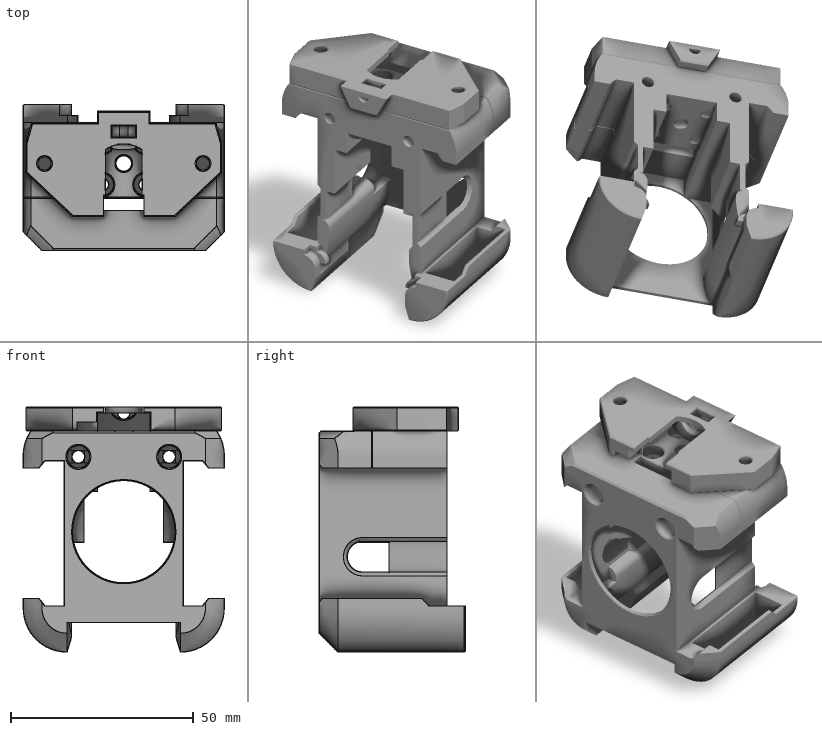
import cadquery as cq
import math

HALF_WIDTH = 27.5
TOTAL_HEIGHT = 67.1
PLATE_THICKNESS = 6.65
DECK_Z = TOTAL_HEIGHT - PLATE_THICKNESS
REAR_Y = 35.0
SEAM_Y = 14.3
SEAT_Z = 50.3
CORE_HALF = 16.3
CORNER_RADIUS = 12.0
FRONT_BEVEL = 5.2
ARM_STEP_X = (21.55, 23.2)
ARM_STEP = 2.0
SCREW_X = 12.4
SCREW_Z = 53.4
SCREW_HOLE = 3.4
CENTRE_HOLE_Y = 23.8
EDGE_CHAMFER = 0.35
RIM = 0.35
OVER = 0.7

FOOT_DEPTH = 40.0
FOOT_STEP_Y = 36.9
FOOT_INNER_X = HALF_WIDTH - CORNER_RADIUS
FOOT_SHELF_Z = 12.7
FOOT_RIDGE_X = 14.2
FOOT_RIDGE_Z = 4.3
FOOT_RIDGE_TOP_X = 15.0
FOOT_RIDGE_Y = 20.1
LOBE_RADIUS = 2.9
TIP_RADIUS = 3.35
ROUND_DROP = 1.7
RAIL_END_Y = 28.05
POCKET_Y = (5.8, 34.2)
POCKET_INNER_X = 17.2
POCKET_WALL = 1.15
FLOOR_Z = 8.05
FRONT_WALL = 1.0
BORE_DIAMETER = 28.0
BORE_Z = 32.95
BORE_RIM = 0.3
CAVITY_HALF = 15.25
CAVITY_TOP = 43.95
DUCT_HALF = 12.55
DUCT_TOP = 20.8
DUCT_CURVE_Z = 16.8
LEDGE_Y = 10.35
LEDGE_Z = 16.8
REAR_WALL_Y = 19.05
REAR_CAVITY_HALF = 13.75
SLOT_Z = 26.1
SLOT_END_Y = 11.9
SLOT_RADIUS = 4.15
TAB_INNER_X = 10.9
TAB_Z = 30.0
TAB_Y = 10.95
CHANNEL_HALF = 7.1
CHANNEL_Y = 11.0
COUNTERBORE = 6.2
COUNTERBORE_DEPTH = 6.05
BRIDGE_STEP = 0.3
WING_TOP_X = 25.45
TOP_BEVEL_DROP = 2.0
TOP_BEVEL_RUN = 3.7
FRONT_EDGE_CHAMFER = 0.55

CENTRE_HOLE = 4.2
BOLT_HOLE = 3.2
BOLT_OFFSET = 5.8
BOLT_COUNTERBORE = 6.0
BOLT_COUNTERBORE_DEPTH = 3.35

PLATE_HALF = 26.8
PLATE_FRONT_Y = 9.25
PLATE_SIDE_Y = (21.3, 29.4)
PLATE_REAR_Y = 34.9
PLATE_FRONT_X = 14.0
PLATE_REAR_X = 25.2
TONGUE_HALF = 7.25
TONGUE_Y = 38.1
TONGUE_LEAN = 3.35
PLATE_HOLE = 3.6
PLATE_HOLE_X = 21.7
RECESS_TOP = 65.35
RECESS_END_Y = 27.6
RECESS_HALF = 9.4
RECESS_BULGE_RADIUS = 15.65
MOUTH_HALF = 5.0
MOUTH_SHOULDER_Y = 27.5
MOUTH_END_Y = 29.2
MOUTH_FRONT_HALF = 5.5
MOUTH_FRONT_Y = 15.25
WINDOW_HALF = 3.5
WINDOW_Y = (30.75, 34.35)
WINDOW_FLOOR = 64.3
TROUGH_RADIUS = 1.6
FLARE_RISE = 2.3
FLARE_RADIUS = 4.5
FLARE_START_Y = 26.5
SIDE_POCKET_RADIUS = 5.65
SIDE_POCKET_TOP = 63.0


def box(x_span, y_span, z_span):
    """Axis-aligned box between pairs of coordinates."""
    size = [span[1] - span[0] for span in (x_span, y_span, z_span)]
    corner = (x_span[0], y_span[0], z_span[0])
    return cq.Workplane("XY", origin=corner).box(*size, centered=False)


def along_y(y_start):
    """Sketch plane holding X and Z; extrude by a negative length to go rearward."""
    return cq.Workplane("XZ", origin=(0, y_start, 0))


def both_sides(right):
    """A right-hand shape together with its mirror image across X = 0."""
    return right.union(right.mirror("YZ"))


def round_hole(direction, start, depth, diameter, rim=0.0):
    """Cutter for a hole starting at a point, with an optional 45 degree rim chamfer."""
    axis = cq.Vector(*direction)
    origin = cq.Vector(*start)
    cutter = cq.Workplane(cq.Solid.makeCylinder(diameter / 2, depth, origin, axis))
    if rim:
        cone = cq.Solid.makeCone(diameter / 2 + rim, diameter / 2, rim, origin, axis)
        cutter = cutter.union(cq.Workplane(cone))
    return cutter


def wing_section(y_start, y_end):
    """Upper cross-section with both wings, above the seat."""
    rise = DECK_Z - SEAT_Z
    lean = HALF_WIDTH - WING_TOP_X
    straight = rise - math.sqrt(CORNER_RADIUS**2 - (CORNER_RADIUS - lean) ** 2)
    arc_z = SEAT_Z + straight
    half_angle = math.acos(1 - lean / CORNER_RADIUS) / 2
    arc_mid = (
        HALF_WIDTH - CORNER_RADIUS * (1 - math.cos(half_angle)),
        arc_z + CORNER_RADIUS * math.sin(half_angle),
    )
    right = (
        along_y(y_start)
        .moveTo(0, SEAT_Z)
        .lineTo(CORE_HALF, SEAT_Z)
        .lineTo(CORE_HALF, SEAT_Z + ARM_STEP)
        .lineTo(ARM_STEP_X[0], SEAT_Z + ARM_STEP)
        .lineTo(ARM_STEP_X[1], SEAT_Z)
        .lineTo(HALF_WIDTH, SEAT_Z)
        .lineTo(HALF_WIDTH, arc_z)
        .threePointArc(arc_mid, (WING_TOP_X, DECK_Z))
        .lineTo(0, DECK_Z)
        .close()
        .extrude(y_start - y_end)
    )
    return both_sides(right)


def front_corner_bevels():
    """Cutters for the slanted front corners of the wings and the slope above them."""
    front_x = HALF_WIDTH - FRONT_BEVEL
    reach = FRONT_BEVEL + OVER
    slant = (
        cq.Workplane("XY", origin=(0, 0, SEAT_Z - OVER))
        .polyline([(front_x - OVER, -OVER), (front_x + reach, reach), (front_x + reach, -OVER)])
        .close()
        .extrude(DECK_Z - SEAT_Z + 2 * OVER)
    )
    run = TOP_BEVEL_RUN / math.sqrt(2)
    half_length = 2 * HALF_WIDTH
    slope_plane = cq.Plane(origin=(front_x, 0, DECK_Z), xDir=(-1, 1, 0), normal=(1, 1, 0))
    slope = (
        cq.Workplane(slope_plane)
        .polyline([(0, -TOP_BEVEL_DROP), (run, 0), (run, OVER), (-run, OVER), (-run, -TOP_BEVEL_DROP)])
        .close()
        .extrude(half_length, both=True)
    )
    return both_sides(slant.union(slope))


def foot_section(inner_path, y_start, y_end):
    """Slice of the right foot; inner_path draws its inner side from the bottom to the top."""
    diagonal = CORNER_RADIUS * math.sqrt(0.5)
    arc_mid = (FOOT_INNER_X + diagonal, CORNER_RADIUS - diagonal)
    sketch = inner_path(along_y(y_start).moveTo(FOOT_INNER_X, 0))
    return (
        sketch.lineTo(ARM_STEP_X[0], FOOT_SHELF_Z)
        .lineTo(ARM_STEP_X[1], FOOT_SHELF_Z + ARM_STEP)
        .lineTo(HALF_WIDTH, FOOT_SHELF_Z + ARM_STEP)
        .lineTo(HALF_WIDTH, CORNER_RADIUS)
        .threePointArc(arc_mid, (FOOT_INNER_X, 0))
        .close()
        .extrude(y_start - y_end)
    )


def front_inner(sketch):
    """Plain upright inner side, merging into the core."""
    return sketch.lineTo(FOOT_INNER_X, FOOT_SHELF_Z)


def lobe_inner(sketch):
    """Inner side of the lobe just behind the core, reaching in to the duct wall."""
    sketch = sketch.lineTo(FOOT_RIDGE_X, FOOT_RIDGE_Z).lineTo(FOOT_RIDGE_TOP_X, FLOOR_Z)
    return rounded_inner(sketch.lineTo(DUCT_HALF, FLOOR_Z), DUCT_HALF, LOBE_RADIUS)


def tip_inner(sketch):
    """Inner side of the rear tip of the foot."""
    return rounded_inner(sketch.lineTo(FOOT_RIDGE_X, FOOT_RIDGE_Z), FOOT_RIDGE_X, TIP_RADIUS)


def rounded_inner(sketch, inner_x, radius):
    """Inner side with a quarter round, then a short upright step to the shelf."""
    drop = radius * (1 - math.sqrt(0.5))
    round_top = FOOT_SHELF_Z - ROUND_DROP
    return (
        sketch.lineTo(inner_x, round_top - radius)
        .threePointArc((inner_x + drop, round_top - drop), (inner_x + radius, round_top))
        .lineTo(inner_x + radius, FOOT_SHELF_Z)
    )


def foot_ridge():
    """Ridge along the inner side of the foot, with a slanted front end."""
    height = FOOT_INNER_X - FOOT_RIDGE_X
    prism = (
        along_y(FOOT_RIDGE_Y)
        .polyline(
            [
                (FOOT_INNER_X, 0),
                (FOOT_RIDGE_X, FOOT_RIDGE_Z),
                (FOOT_RIDGE_TOP_X, FLOOR_Z),
                (FOOT_INNER_X, FLOOR_Z),
            ]
        )
        .close()
        .extrude(FOOT_RIDGE_Y - REAR_Y)
    )
    front_end = (
        cq.Workplane("XY")
        .polyline(
            [
                (FOOT_INNER_X, FOOT_RIDGE_Y),
                (FOOT_RIDGE_X, FOOT_RIDGE_Y + height),
                (FOOT_RIDGE_X, FOOT_RIDGE_Y),
            ]
        )
        .close()
        .extrude(FLOOR_Z)
    )
    return prism.cut(front_end)


def foot_pocket():
    """Trough in the foot with a floor concentric with the outer rounding."""
    radius = CORNER_RADIUS - POCKET_WALL
    length = POCKET_Y[1] - POCKET_Y[0]
    trough = along_y(POCKET_Y[0]).center(FOOT_INNER_X, CORNER_RADIUS).circle(radius).extrude(-length)
    upper = box((FOOT_INNER_X, FOOT_INNER_X + radius), POCKET_Y, (CORNER_RADIUS, CORNER_RADIUS * 2))
    keep = box((POCKET_INNER_X, HALF_WIDTH), POCKET_Y, (0, FOOT_SHELF_Z + ARM_STEP + OVER))
    return trough.union(upper).intersect(keep)


def bevelled_envelope():
    """Rounded bar bounding the right foot, bevelled around its front end."""
    bar = box((0, HALF_WIDTH), (0, REAR_Y), (0, SEAT_Z)).edges("|Y and >X and <Z").fillet(CORNER_RADIUS)
    return bar.faces("<Y").edges("%CIRCLE or >X").chamfer(FRONT_BEVEL)


def right_foot():
    """Whole right foot: bevelled front, rear lobe and tip, inner ridge, lowered end and pocket."""
    front = foot_section(front_inner, 0, REAR_Y).intersect(bevelled_envelope())
    tip = foot_section(tip_inner, FOOT_STEP_Y, FOOT_DEPTH)
    tip = tip.faces(">Y").edges("%CIRCLE").edges("<Z").chamfer(EDGE_CHAMFER)
    foot = front.union(foot_section(lobe_inner, REAR_Y, FOOT_STEP_Y)).union(tip).union(foot_ridge())
    rail_end = (
        cq.Workplane("YZ")
        .polyline(
            [
                (RAIL_END_Y, FOOT_SHELF_Z + ARM_STEP),
                (RAIL_END_Y + ARM_STEP, FOOT_SHELF_Z),
                (FOOT_DEPTH, FOOT_SHELF_Z),
                (FOOT_DEPTH, FOOT_SHELF_Z + ARM_STEP),
            ]
        )
        .close()
        .extrude(HALF_WIDTH)
    )
    return foot.cut(rail_end).cut(foot_pocket())


def lower_duct():
    """Lower cavity, open to the rear and through the floor, with a rounded ledge on each side."""
    flare = FOOT_RIDGE_X - DUCT_HALF
    ledge_radius = CAVITY_HALF - DUCT_HALF
    ledge_drop = ledge_radius * (1 - math.sqrt(0.5))
    right = (
        along_y(FRONT_WALL)
        .moveTo(0, FLOOR_Z)
        .lineTo(FOOT_RIDGE_X, FLOOR_Z)
        .threePointArc((DUCT_HALF + flare / 4, (FLOOR_Z + DUCT_CURVE_Z) / 2), (DUCT_HALF, DUCT_CURVE_Z))
        .lineTo(DUCT_HALF, DUCT_TOP - ledge_radius)
        .threePointArc((DUCT_HALF + ledge_drop, DUCT_TOP - ledge_drop), (CAVITY_HALF, DUCT_TOP))
        .lineTo(0, DUCT_TOP)
        .close()
        .extrude(FRONT_WALL - REAR_Y)
    )
    return both_sides(right)


def core_cavity():
    """Everything hollow inside the core, including the channel that rises to the deck."""
    side = CAVITY_HALF
    front = box((-side, side), (FRONT_WALL, REAR_WALL_Y), (DUCT_TOP, CAVITY_TOP))
    behind_wall = box((-side, side), (FRONT_WALL, LEDGE_Y), (LEDGE_Z, DUCT_TOP))
    thickening = CAVITY_HALF - REAR_CAVITY_HALF
    rear = (
        cq.Workplane("XY", origin=(0, 0, DUCT_TOP))
        .polyline(
            [
                (0, REAR_WALL_Y),
                (CAVITY_HALF, REAR_WALL_Y),
                (REAR_CAVITY_HALF, REAR_WALL_Y + thickening),
                (REAR_CAVITY_HALF, REAR_Y),
                (0, REAR_Y),
            ]
        )
        .close()
        .extrude(CAVITY_TOP - DUCT_TOP)
    )
    channel_x = (-CHANNEL_HALF, CHANNEL_HALF)
    channel = box(channel_x, (FRONT_WALL, REAR_Y), (CAVITY_TOP, SEAT_Z))
    shaft = box(channel_x, (CHANNEL_Y, SEAM_Y), (SEAT_Z, DECK_Z))
    main_room = front.union(behind_wall).union(both_sides(rear))
    return main_room.union(channel).union(shaft).union(lower_duct())


def side_slot():
    """Chamfered slot in the side wall, rounded in front and open to the rear."""
    end_y = REAR_Y + SLOT_RADIUS
    return (
        cq.Workplane("YZ", origin=(CAVITY_HALF, 0, 0))
        .moveTo(end_y, SLOT_Z - SLOT_RADIUS)
        .lineTo(SLOT_END_Y, SLOT_Z - SLOT_RADIUS)
        .threePointArc((SLOT_END_Y - SLOT_RADIUS, SLOT_Z), (SLOT_END_Y, SLOT_Z + SLOT_RADIUS))
        .lineTo(end_y, SLOT_Z + SLOT_RADIUS)
        .close()
        .extrude(CORE_HALF - CAVITY_HALF, taper=-45)
    )


def side_tab():
    """Rib on the inner side wall with a slanted front."""
    slant_end_y = TAB_Y + CAVITY_HALF - TAB_INNER_X
    return (
        cq.Workplane("XY", origin=(0, 0, TAB_Z))
        .polyline(
            [
                (CAVITY_HALF, TAB_Y),
                (TAB_INNER_X, slant_end_y),
                (TAB_INNER_X, REAR_Y),
                (CAVITY_HALF, REAR_Y),
            ]
        )
        .close()
        .extrude(SEAT_Z - TAB_Z)
    )


def screw_hole():
    """Counterbored screw hole with two bridging steps at the bottom of the counterbore."""
    half = SCREW_HOLE / 2
    radius = COUNTERBORE / 2
    start_y = COUNTERBORE_DEPTH
    z_span = (SCREW_Z - half, SCREW_Z + half)
    bore = round_hole((0, 1, 0), (SCREW_X, 0, SCREW_Z), COUNTERBORE_DEPTH, COUNTERBORE, RIM)
    bridge_round = round_hole((0, 1, 0), (SCREW_X, start_y, SCREW_Z), BRIDGE_STEP, COUNTERBORE)
    bridge = box((SCREW_X - radius, SCREW_X + radius), (start_y, start_y + BRIDGE_STEP), z_span)
    square = box((SCREW_X - half, SCREW_X + half), (start_y, start_y + 2 * BRIDGE_STEP), z_span)
    shank = round_hole((0, 1, 0), (SCREW_X, 0, SCREW_Z), SEAM_Y, SCREW_HOLE)
    return bore.union(bridge_round.intersect(bridge)).union(square).union(shank)


def make_housing():
    """Hollow core with four arms, open behind and below."""
    top = wing_section(0, SEAM_Y)
    top = top.faces("<Y").edges(">Z").chamfer(FRONT_EDGE_CHAMFER)
    top = top.cut(front_corner_bevels())
    core = box((-CORE_HALF, CORE_HALF), (0, REAR_Y), (FLOOR_Z, SEAT_Z))
    body = core.union(top).union(both_sides(right_foot()))
    bore = round_hole((0, 1, 0), (0, 0, BORE_Z), FRONT_WALL, BORE_DIAMETER, BORE_RIM)
    body = body.cut(core_cavity()).cut(bore)
    body = body.union(both_sides(side_tab()))
    return body.cut(both_sides(side_slot())).cut(both_sides(screw_hole()))


def make_rear_block():
    """Block closing the top of the housing behind the seam."""
    block = wing_section(SEAM_Y, REAR_Y)
    block = block.faces("<Y").edges("not <Z").chamfer(EDGE_CHAMFER)
    down = (0, 0, -1)
    height = DECK_Z - SEAT_Z
    block = block.cut(round_hole(down, (0, CENTRE_HOLE_Y, DECK_Z), height, CENTRE_HOLE, RIM))
    for bolt_y in (CENTRE_HOLE_Y - BOLT_OFFSET, CENTRE_HOLE_Y + BOLT_OFFSET):
        place = (BOLT_OFFSET, bolt_y, DECK_Z)
        head = round_hole(down, place, BOLT_COUNTERBORE_DEPTH, BOLT_COUNTERBORE, RIM)
        shank = round_hole(down, place, height, BOLT_HOLE)
        block = block.cut(both_sides(head.union(shank)))
    screw = round_hole((0, 1, 0), (SCREW_X, SEAM_Y, SCREW_Z), REAR_Y - SEAM_Y, SCREW_HOLE)
    return block.cut(both_sides(screw))


def plate_blank():
    """Plate outline with a rear tongue, chamfered above and below."""
    right = [
        (PLATE_FRONT_X, PLATE_FRONT_Y),
        (PLATE_HALF, PLATE_SIDE_Y[0]),
        (PLATE_HALF, PLATE_SIDE_Y[1]),
        (PLATE_REAR_X, PLATE_REAR_Y),
        (TONGUE_HALF, PLATE_REAR_Y),
        (TONGUE_HALF, TONGUE_Y),
    ]
    left = [(-x, y) for x, y in reversed(right)]
    outline = cq.Workplane("XY", origin=(0, 0, DECK_Z)).polyline(right + left).close()
    blank = outline.extrude(PLATE_THICKNESS)
    return blank.faces("<Z or >Z").edges().chamfer(EDGE_CHAMFER)


def plate_recess():
    """Recess in the underside, narrow at the front, ending behind at a bulging wall."""
    bulge = RECESS_BULGE_RADIUS - math.sqrt(RECESS_BULGE_RADIUS**2 - RECESS_HALF**2)
    corner_y = RECESS_END_Y + bulge
    room = (
        cq.Workplane("XY", origin=(0, 0, DECK_Z))
        .moveTo(-RECESS_HALF, MOUTH_FRONT_Y)
        .lineTo(RECESS_HALF, MOUTH_FRONT_Y)
        .lineTo(RECESS_HALF, corner_y)
        .threePointArc((0, RECESS_END_Y), (-RECESS_HALF, corner_y))
        .close()
        .extrude(RECESS_TOP - DECK_Z)
    )
    entry = box((-CHANNEL_HALF, CHANNEL_HALF), (PLATE_FRONT_Y, MOUTH_FRONT_Y), (DECK_Z, RECESS_TOP))
    entry_rim = (
        along_y(PLATE_FRONT_Y)
        .center(0, DECK_Z)
        .rect(2 * (CHANNEL_HALF + RIM), 2 * (RECESS_TOP - DECK_Z + RIM))
        .extrude(-RIM, taper=45)
    )
    return room.union(entry).union(entry_rim)


def plate_mouth():
    """Arched opening from the recess through the top, wider at the front."""
    arch = (
        cq.Workplane("XY", origin=(0, 0, RECESS_TOP))
        .moveTo(-MOUTH_HALF, PLATE_FRONT_Y)
        .lineTo(MOUTH_HALF, PLATE_FRONT_Y)
        .lineTo(MOUTH_HALF, MOUTH_SHOULDER_Y)
        .threePointArc((0, MOUTH_END_Y), (-MOUTH_HALF, MOUTH_SHOULDER_Y))
        .close()
        .extrude(TOTAL_HEIGHT - RECESS_TOP)
    )
    front_x = (-MOUTH_FRONT_HALF, MOUTH_FRONT_HALF)
    return arch.union(box(front_x, (PLATE_FRONT_Y, MOUTH_FRONT_Y), (RECESS_TOP, TOTAL_HEIGHT)))


def cable_trough():
    """Lower half of a flared passage leading from the recess out through the tongue."""
    start = (0, FLARE_START_Y, RECESS_TOP)
    passage = round_hole((0, 1, 0), start, TONGUE_Y - FLARE_START_Y, 2 * TROUGH_RADIUS)
    flare = cq.Solid.makeCone(
        FLARE_RADIUS,
        FLARE_RISE + TROUGH_RADIUS,
        MOUTH_END_Y - FLARE_START_Y,
        cq.Vector(0, FLARE_START_Y, RECESS_TOP + FLARE_RISE),
        cq.Vector(0, 1, 0),
    )
    below = box((-CHANNEL_HALF, CHANNEL_HALF), (FLARE_START_Y, TONGUE_Y), (DECK_Z, RECESS_TOP))
    return passage.union(cq.Workplane(flare)).intersect(below)


def side_pocket():
    """Shallow round pocket beside the recess, on the left only and open to the front."""
    centre = (-CHANNEL_HALF, PLATE_FRONT_Y, DECK_Z)
    return round_hole((0, 0, 1), centre, SIDE_POCKET_TOP - DECK_Z, 2 * SIDE_POCKET_RADIUS)


def plate_window():
    """Rectangular window from the top down into the cable trough, with a chamfered rim."""
    inner_y = (WINDOW_Y[0] + RIM, WINDOW_Y[1] - RIM)
    inner_half = WINDOW_HALF - RIM
    well = box((-inner_half, inner_half), inner_y, (WINDOW_FLOOR, TOTAL_HEIGHT))
    rim = (
        cq.Workplane("XY", origin=(0, sum(WINDOW_Y) / 2, TOTAL_HEIGHT))
        .rect(2 * WINDOW_HALF, WINDOW_Y[1] - WINDOW_Y[0])
        .extrude(-RIM, taper=45)
    )
    return well.union(rim)


def tongue_undercut():
    """Wedge under each side of the tongue, leaving its sides sloping inward downward."""
    top_z = TOTAL_HEIGHT - EDGE_CHAMFER
    return (
        along_y(PLATE_REAR_Y)
        .polyline(
            [
                (TONGUE_HALF, top_z),
                (TONGUE_HALF, DECK_Z),
                (TONGUE_HALF - TONGUE_LEAN, DECK_Z),
            ]
        )
        .close()
        .extrude(PLATE_REAR_Y - TONGUE_Y)
    )


def make_plate():
    """Plate lying on the housing and the rear block."""
    plate = plate_blank().cut(plate_recess()).cut(plate_mouth()).cut(cable_trough()).cut(side_pocket())
    plate = plate.cut(plate_window()).cut(both_sides(tongue_undercut()))
    place = (PLATE_HOLE_X, CENTRE_HOLE_Y, TOTAL_HEIGHT)
    return plate.cut(both_sides(round_hole((0, 0, -1), place, PLATE_THICKNESS, PLATE_HOLE, RIM)))


housing = make_housing()
rear_block = make_rear_block()
top_plate = make_plate()
result = cq.Compound.makeCompound(
    [housing.solids().val(), rear_block.solids().val(), top_plate.solids().val()]
)